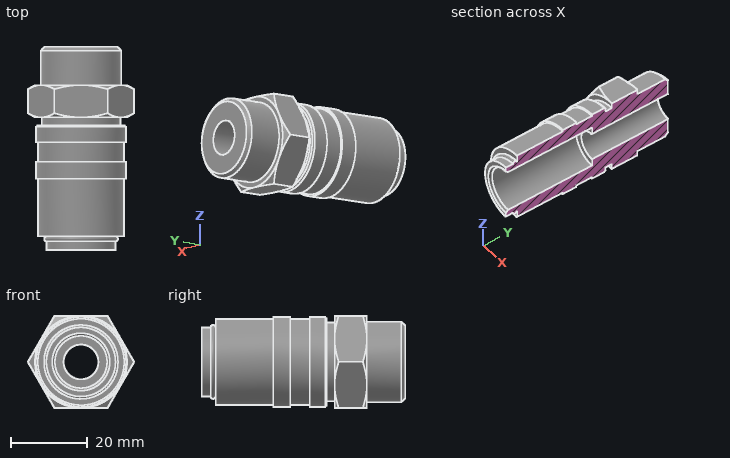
import cadquery as cq
import math


NOSE_LENGTH = 3.6
SLEEVE_LENGTH = 15.0
COLLAR_LENGTH = 4.5
COLLAR_GAP = 5.0
NECK_LENGTH = 2.0
HEX_LENGTH = 8.4
SPIGOT_LENGTH = 10.0

NOSE_DIAMETER = 18.0
SLEEVE_DIAMETER = 22.5
COLLAR_DIAMETER = 23.5
NECK_DIAMETER = 20.6
SPIGOT_DIAMETER = 21.0
SOCKET_DIAMETER = 13.6
SOCKET_MOUTH_DIAMETER = 15.0
BORE_DIAMETER = 9.0

HEX_SIDES = 6
HEX_ACROSS_FLATS = 24.0
HEX_CHAMFER_ANGLE = 30.0
BEAD_RADIUS = 0.65
COLLAR_CHAMFER = 0.5
SPIGOT_CHAMFER = 1.0

FULL_TURN = 360.0

sleeve_start = NOSE_LENGTH
front_collar_start = sleeve_start + SLEEVE_LENGTH
rear_collar_start = front_collar_start + COLLAR_LENGTH + COLLAR_GAP
neck_start = rear_collar_start + COLLAR_LENGTH
hex_start = neck_start + NECK_LENGTH
spigot_start = hex_start + HEX_LENGTH
total_length = spigot_start + SPIGOT_LENGTH
socket_depth = rear_collar_start


def cross_section(start):
    """Workplane across the axis at Y = start, facing +Y."""
    return cq.Workplane(cq.Plane(origin=(0, start, 0), xDir=(1, 0, 0), normal=(0, 1, 0)))


def cylinder(diameter, start, length):
    """Solid cylinder along +Y, beginning at Y = start."""
    return cross_section(start).circle(diameter / 2).extrude(length)


def revolve_about_y(profile):
    """Full turn of an XY profile about the Y axis."""
    return profile.revolve(FULL_TURN, (0, 0, 0), (0, 1, 0))


def make_nose():
    """Plain nose with a half-round bead where it leaves the sleeve."""
    nose_radius = NOSE_DIAMETER / 2
    bead_front = sleeve_start - 2 * BEAD_RADIUS
    profile = (
        cq.Workplane("XY")
        .lineTo(nose_radius, 0)
        .lineTo(nose_radius, bead_front)
        .radiusArc((nose_radius + BEAD_RADIUS, bead_front + BEAD_RADIUS), -BEAD_RADIUS)
        .radiusArc((nose_radius, sleeve_start), -BEAD_RADIUS)
        .lineTo(0, sleeve_start)
        .close()
    )
    return revolve_about_y(profile)


def make_sleeve():
    """Sleeve carrying two raised collars, the rear one chamfered toward the hexagon."""
    sleeve = cylinder(SLEEVE_DIAMETER, sleeve_start, neck_start - sleeve_start)
    front_collar = cylinder(COLLAR_DIAMETER, front_collar_start, COLLAR_LENGTH)
    rear_collar = cylinder(COLLAR_DIAMETER, rear_collar_start, COLLAR_LENGTH)
    rear_collar = rear_collar.faces(">Y").chamfer(COLLAR_CHAMFER)
    return sleeve.union(front_collar).union(rear_collar)


def make_hexagon():
    """Hexagon with corners on the X axis, its corners turned down at both ends."""
    face_radius = HEX_ACROSS_FLATS / 2
    corner_radius = face_radius / math.cos(math.pi / HEX_SIDES)
    chamfer_length = (corner_radius - face_radius) * math.tan(math.radians(HEX_CHAMFER_ANGLE))
    prism = cross_section(hex_start).polygon(HEX_SIDES, 2 * corner_radius).extrude(HEX_LENGTH)
    envelope = revolve_about_y(
        cq.Workplane("XY")
        .moveTo(0, hex_start)
        .lineTo(face_radius, hex_start)
        .lineTo(corner_radius, hex_start + chamfer_length)
        .lineTo(corner_radius, spigot_start - chamfer_length)
        .lineTo(face_radius, spigot_start)
        .lineTo(0, spigot_start)
        .close()
    )
    return prism.intersect(envelope)


def make_spigot():
    """Plain cylindrical connection with a chamfered end."""
    spigot = cylinder(SPIGOT_DIAMETER, spigot_start, SPIGOT_LENGTH)
    return spigot.faces(">Y").chamfer(SPIGOT_CHAMFER)


def make_passage():
    """Socket with a countersunk mouth, followed by the narrower through bore."""
    socket = cylinder(SOCKET_DIAMETER, 0, socket_depth)
    mouth_depth = (SOCKET_MOUTH_DIAMETER - SOCKET_DIAMETER) / 2
    mouth = revolve_about_y(
        cq.Workplane("XY")
        .lineTo(SOCKET_MOUTH_DIAMETER / 2, 0)
        .lineTo(SOCKET_DIAMETER / 2, mouth_depth)
        .lineTo(0, mouth_depth)
        .close()
    )
    bore = cylinder(BORE_DIAMETER, 0, total_length)
    return socket.union(mouth).union(bore)


body = (
    make_nose()
    .union(make_sleeve())
    .union(cylinder(NECK_DIAMETER, neck_start, NECK_LENGTH))
    .union(make_hexagon())
    .union(make_spigot())
)
result = body.cut(make_passage())